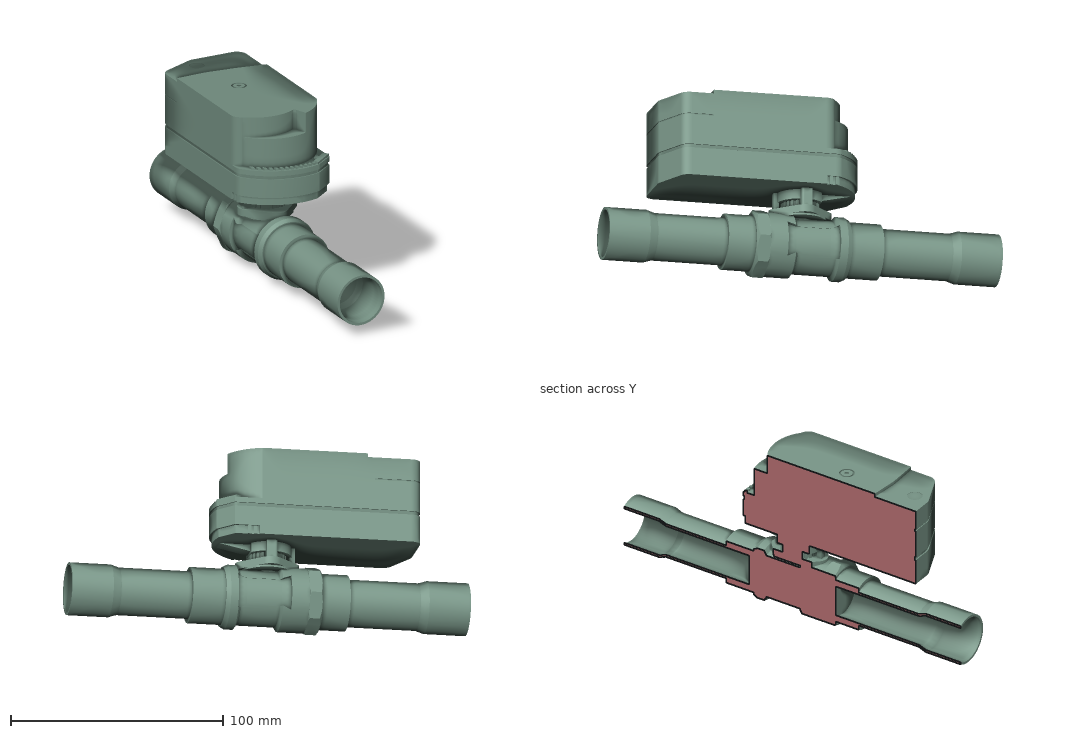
import cadquery as cq
import math

length = 191.0
nut_corner_radius = 16.5
socket_radius, socket_bore, socket_length = 12.5, 11.3, 19.8
tube_radius, tube_bore = 11.25, 10.1
socket_taper = 4.0
sleeve_radius, sleeve_half_length = 13.3, 37.75
body_radius, waist_radius = 15.3, 13.2
nut_start_x, nut_end_x = -24.6, -17.8
nut_chamfer_length, nut_chamfer_depth, nut_back_chamfer = 1.4, 2.0, 0.7
body_end_x, waist_start_x = -5.3, -4.0
collar_start_x, collar_end_x = 14.6, 22.0
collar_start_chamfer, collar_end_chamfer = 1.4, 2.1
collar_end_radius = 14.2

window_start_x, window_end_x, window_floor_radius = -4.9, 11.8, 12.9
window_half_height, window_flare_half_height, window_flare_length = 6.6, 8.4, 4.4
window_flare_radius = 13.1

flange_bottom_z, flange_corner_bottom_z, flange_top_z = 12.4, 13.3, 16.8
flange_corner_reach, flange_corner_radius = 15.2, 5.1
flange_step_radius, pedestal_radius = 12.5, 6.0
spline_radius, spline_teeth, tooth_width, tooth_depth = 9.2, 24, 1.2, 0.8
ring_radius, ring_bottom_z = 11.5, 20.6
neck_end_x = 8.8
front_post_reach, front_post_depth, front_post_width = 13.2, 2.7, 2.8
side_post_reach, side_post_width, side_post_rounding = 14.2, 5.2, 1.2
wedge_end_x, wedge_root_height, wedge_width = 23.5, 3.2, 8.0

overall_height = 83.91
top_z = overall_height - nut_corner_radius
housing_bottom_z = 25.2
half_width = 23.0
left_x, shoulder_y, nose_x = -70.0, -4.2, -61.7
corner_radius = 5.0
base_flat_end_x = 11.7
base_corner_middle, base_corner_end = (13.2, -22.8), (14.6, -22.2)
base_arc_middle, base_arc_end = (27.8, 0.0), (26.7, 13.8)
base_slant_end_x = 19.6
foot_start_x, foot_top_z, foot_inset = 7.6, 29.2, 1.1
foot_rib_starts, foot_rib_width, foot_rib_inset = (8.8, 11.7), 1.6, 0.5
seam_bottom_z, seam_top_z, seam_depth = 38.5, 40.2, 0.6
shoulder_z, rim_top_z = 42.7, 43.8
grip_rib_count, grip_rib_pitch, grip_rib_width, first_grip_rib_y = 13, 2.4, 1.2, 11.6
grip_rib_length, grip_rib_inset, grip_start_x = 1.6, 0.9, 13.0
pad_inner_edge = [(16.6, 21.0), (19.5, 17.6), (18.1, 16.2), (20.2, 14.4), (21.5, 15.4), (23.9, 12.5)]
pad_outer_edge = [(26.6, 13.3), (18.8, half_width)]

cover_centre_x, cover_centre_y, cover_end_radius = -1.0, 0.5, 23.7
cover_flat_end_x, cover_edge_x = 7.0, 12.2
notch_floor_z = 57.5
notch_wall_middle, notch_wall_end = (17.5, -5.5), (14.5, 6.1)
notch_corner_middle, notch_corner_end = (14.7, 7.1), (15.7, 7.7)
notch_mouth = (20.8, 9.7)
lid_step = 1.8
lid_end_x = -47.6
lid_edge = [(lid_end_x, -half_width), (-48.1, -7.8), (-46.6, 7.8), (-44.1, half_width)]
lid_groove_z, lid_groove_height, lid_groove_depth = 54.7, 0.6, 0.4
plug_x, plug_y, plug_radius, plug_depth = -61.9, -4.9, 3.6, 0.2
screw_x, screw_y, screw_depth = -25.6, -1.5, 0.6
screw_recess_radius, screw_head_radius, screw_socket_radius = 3.7, 2.8, 1.1


def cylinder_x(start, end, radius):
    return cq.Workplane("YZ", origin=(start, 0, 0)).circle(radius).extrude(end - start)


def cylinder_z(x, y, bottom, top, radius):
    return cq.Workplane("XY", origin=(x, y, bottom)).circle(radius).extrude(top - bottom)


def block(x_range, y_range, z_range):
    low, high = zip(x_range, y_range, z_range)
    sizes = [b - a for a, b in zip(low, high)]
    return cq.Workplane("XY", origin=low).box(*sizes, centered=False)


def revolve_x(points):
    """Turn a list of (x, radius) points around the tube axis."""
    profile = [(x, -radius) for x, radius in points]
    return cq.Workplane("XY").polyline(profile).close().revolve(360, (0, 0, 0), (1, 0, 0))


def tube_half():
    """The +X half of the tube, with its widened solder socket; the valve body closes the bore."""
    end = length / 2
    socket_start = end - socket_length
    taper_start = socket_start - socket_taper
    bore_end = -nut_start_x
    return revolve_x([
        (bore_end, tube_bore), (taper_start, tube_bore),
        (socket_start, socket_bore), (end, socket_bore), (end, socket_radius),
        (socket_start, socket_radius), (taper_start, tube_radius),
        (sleeve_half_length, tube_radius), (sleeve_half_length, sleeve_radius),
        (bore_end, sleeve_radius),
    ])


def octagon_nut():
    nut = (cq.Workplane("YZ", origin=(nut_start_x, 0, 0))
           .polygon(8, 2 * nut_corner_radius).extrude(nut_end_x - nut_start_x))
    crown = cylinder_x(nut_start_x, nut_end_x, nut_corner_radius)
    crown = crown.faces("<X").chamfer(nut_chamfer_length, nut_chamfer_depth)
    crown = crown.faces(">X").chamfer(nut_back_chamfer)
    return nut.intersect(crown)


def side_window_cutter():
    """Shallow round-floored window through both sides, flaring outward at its two ends."""
    start = window_start_x - window_flare_length
    end = window_end_x + window_flare_length
    ring = revolve_x([(window_start_x, window_floor_radius), (window_end_x, window_floor_radius),
                      (end, window_flare_radius), (end, body_radius),
                      (start, body_radius), (start, window_flare_radius)])
    opening = (cq.Workplane("XZ", origin=(0, body_radius, 0))
               .polyline([(start, -window_flare_half_height), (window_start_x, -window_half_height),
                          (window_end_x, -window_half_height), (end, -window_flare_half_height),
                          (end, window_flare_half_height), (window_end_x, window_half_height),
                          (window_start_x, window_half_height), (start, window_flare_half_height)])
               .close().extrude(2 * body_radius))
    return ring.intersect(opening)


def valve_body():
    body = revolve_x([
        (nut_start_x, 0), (nut_start_x, sleeve_radius), (nut_end_x, body_radius),
        (body_end_x, body_radius), (waist_start_x, waist_radius), (collar_start_x, waist_radius),
        (collar_start_x + collar_start_chamfer, body_radius),
        (collar_end_x - collar_end_chamfer, body_radius),
        (collar_end_x, collar_end_radius), (collar_end_x, sleeve_radius),
        (-nut_start_x, sleeve_radius), (-nut_start_x, 0),
    ])
    return body.cut(side_window_cutter())


def flange():
    """Square plate turned by 45 degrees, its rounded corners thinned, on a round pedestal."""
    corner_centre = flange_corner_reach - flange_corner_radius
    side = math.sqrt(2) * corner_centre + 2 * flange_corner_radius
    plate = (cq.Workplane("XY", origin=(0, 0, flange_bottom_z)).rect(side, side)
             .extrude(flange_top_z - flange_bottom_z).edges("|Z").fillet(flange_corner_radius)
             .rotate((0, 0, 0), (0, 0, 1), 45))
    under_corners = cylinder_z(0, 0, flange_bottom_z, flange_corner_bottom_z, 2 * flange_step_radius)
    under_corners = under_corners.cut(
        cylinder_z(0, 0, flange_bottom_z, flange_corner_bottom_z, flange_step_radius))
    return plate.cut(under_corners).union(cylinder_z(0, 0, 0, flange_bottom_z, pedestal_radius))


def neck():
    """Splined stem with a ring and three posts, cut flat towards +X, and a wedge beyond the flat."""
    spline = cylinder_z(0, 0, flange_bottom_z, housing_bottom_z, spline_radius)
    tooth_gaps = (cq.Workplane("XY", origin=(0, 0, flange_top_z))
                  .polarArray(spline_radius, 0, 360, spline_teeth).rect(2 * tooth_depth, tooth_width)
                  .extrude(housing_bottom_z - flange_top_z))
    ring = cylinder_z(0, 0, ring_bottom_z, housing_bottom_z, ring_radius)
    stem = spline.cut(tooth_gaps).union(ring)
    post_z = (flange_top_z, housing_bottom_z)
    half_front = front_post_width / 2
    stem = stem.union(block(
        (-front_post_reach, front_post_depth - front_post_reach), (-half_front, half_front), post_z))
    half_side = side_post_width / 2
    side_posts = block((-half_side, half_side), (-side_post_reach, side_post_reach), post_z)
    stem = stem.union(side_posts.edges("|Z and <X").fillet(side_post_rounding))
    stem = stem.cut(block((neck_end_x, 2 * neck_end_x), (-ring_radius, ring_radius), post_z))
    wedge = (cq.Workplane("XZ", origin=(0, wedge_width / 2, 0))
             .polyline([(0, housing_bottom_z), (wedge_end_x, housing_bottom_z),
                        (neck_end_x, housing_bottom_z - wedge_root_height),
                        (0, housing_bottom_z - wedge_root_height)])
             .close().extrude(wedge_width))
    return stem.union(wedge)


def round_left_corners(slab, inset):
    nose_corners = cq.selectors.BoxSelector((2 * left_x, -2 * half_width, 0),
                                            (lid_end_x, 2 * half_width, overall_height))
    return slab.edges("|Z").edges(nose_corners).fillet(corner_radius - inset)


def housing_slab(bottom, top, inset=0.0):
    """Full housing plan: slanted nose at -X and round end at +X, optionally shrunk all round."""
    outline = (cq.Workplane("XY", origin=(0, 0, bottom)).moveTo(nose_x, -half_width)
               .lineTo(base_flat_end_x, -half_width)
               .threePointArc(base_corner_middle, base_corner_end)
               .threePointArc(base_arc_middle, base_arc_end).lineTo(base_slant_end_x, half_width)
               .lineTo(left_x, half_width).lineTo(left_x, shoulder_y).close())
    if inset:
        outline = outline.offset2D(-inset, "intersection")
    return round_left_corners(outline.extrude(top - bottom), inset)


def cover_end_x(y):
    return cover_centre_x + math.sqrt(cover_end_radius ** 2 - (y - cover_centre_y) ** 2)


def cover():
    """Upper housing: same nose as the base, with a shorter round end."""
    edge_y = cover_centre_y - math.sqrt(cover_end_radius ** 2 - (cover_edge_x - cover_centre_x) ** 2)
    outline = (cq.Workplane("XY", origin=(0, 0, shoulder_z)).moveTo(nose_x, -half_width)
               .lineTo(cover_flat_end_x, -half_width)
               .tangentArcPoint((cover_edge_x, edge_y), relative=False)
               .threePointArc((cover_centre_x + cover_end_radius, cover_centre_y),
                              (cover_end_x(half_width), half_width))
               .lineTo(left_x, half_width).lineTo(left_x, shoulder_y).close())
    slab = round_left_corners(outline.extrude(top_z - shoulder_z), 0)
    return slab.cut(end_notch(edge_y)).cut(lid_recess())


def end_notch(edge_y):
    """Pocket in the upper part of the round end, open towards +X."""
    outside = 2 * half_width
    return (cq.Workplane("XY", origin=(0, 0, notch_floor_z)).moveTo(cover_edge_x, edge_y)
            .threePointArc(notch_wall_middle, notch_wall_end)
            .threePointArc(notch_corner_middle, notch_corner_end)
            .lineTo(*notch_mouth).lineTo(outside, notch_mouth[1]).lineTo(outside, edge_y).close()
            .extrude(top_z - notch_floor_z))


def lid_recess():
    """Lowered top at the -X end, bounded by a bent edge."""
    return (cq.Workplane("XY", origin=(0, 0, top_z - lid_step))
            .polyline(lid_edge + [(left_x, half_width), (left_x, -half_width)]).close().extrude(lid_step))


def foot_cut():
    """Material taken off the lower edge of the round end, leaving two shallow ribs."""
    depth_z = (housing_bottom_z, foot_top_z)
    full = (-2 * half_width, 2 * half_width)
    end_region = block((foot_start_x, 2 * half_width), full, depth_z)
    removed = end_region.cut(housing_slab(*depth_z, inset=foot_inset))
    ribs = housing_slab(*depth_z, inset=foot_rib_inset)
    for start in foot_rib_starts:
        removed = removed.cut(ribs.intersect(block((start, start + foot_rib_width), full, depth_z)))
    return removed


def seam_groove():
    return housing_slab(seam_bottom_z, seam_top_z).cut(
        housing_slab(seam_bottom_z, seam_top_z, seam_depth))


def lid_groove():
    top = lid_groove_z + lid_groove_height
    band = housing_slab(lid_groove_z, top).cut(housing_slab(lid_groove_z, top, lid_groove_depth))
    return band.intersect(block((left_x, lid_end_x), (-half_width, half_width), (lid_groove_z, top)))


def grip_ribs():
    """Row of short raised bars along the rim of the round end."""
    outer = housing_slab(shoulder_z, rim_top_z, grip_rib_inset)
    band = outer.cut(housing_slab(shoulder_z, rim_top_z, grip_rib_inset + grip_rib_length))
    bars = cq.Workplane("XY")
    for index in range(grip_rib_count):
        centre = first_grip_rib_y - index * grip_rib_pitch
        y_range = (centre - grip_rib_width / 2, centre + grip_rib_width / 2)
        bars = bars.add(band.intersect(
            block((grip_start_x, 2 * half_width), y_range, (shoulder_z, rim_top_z))))
    return bars


def rim_pad():
    """Raised pad with a stepped inner edge on the slanted +X, +Y corner."""
    return (cq.Workplane("XY", origin=(0, 0, shoulder_z)).polyline(pad_inner_edge + pad_outer_edge).close()
            .extrude(rim_top_z - shoulder_z))


def screw_recess():
    """Ring-shaped recess around a screw head, with a round socket in the head."""
    bottom = top_z - screw_depth
    ring = cylinder_z(screw_x, screw_y, bottom, top_z, screw_recess_radius)
    ring = ring.cut(cylinder_z(screw_x, screw_y, bottom, top_z, screw_head_radius))
    return ring.union(cylinder_z(screw_x, screw_y, bottom, top_z, screw_socket_radius))


def actuator():
    housing = housing_slab(housing_bottom_z, shoulder_z).union(cover())
    housing = housing.cut(foot_cut()).cut(seam_groove()).cut(lid_groove())
    for bar in grip_ribs().vals():
        housing = housing.union(cq.Workplane(bar))
    housing = housing.union(rim_pad()).cut(screw_recess())
    lid_z = top_z - lid_step
    return housing.cut(cylinder_z(plug_x, plug_y, lid_z - plug_depth, lid_z, plug_radius))


valve = tube_half().union(tube_half().mirror("YZ")).union(valve_body()).union(octagon_nut())
result = valve.union(flange()).union(neck()).union(actuator())